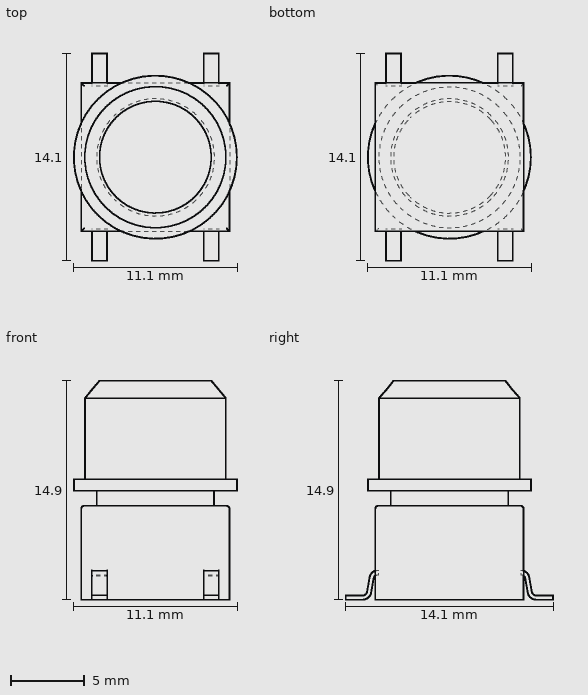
import cadquery as cq
import math

housing_width = 10.1
housing_height = 6.4
housing_top_radius = 0.25

neck_diameter = 8.0
neck_height = 1.0
flange_diameter = 11.1
flange_thickness = 0.8
cap_diameter = 9.6
cap_top_diameter = 7.6
cap_bevel_height = 1.19
overall_height = 14.9

lead_span = 14.1
lead_spacing = 7.6
lead_width = 1.05
lead_thickness = 0.3
lead_height = 2.01
foot_length = 1.15
inner_bend_radius = 0.3
outer_bend_radius = inner_bend_radius + lead_thickness
leg_lean = math.radians(10)


def make_housing_block():
    """Plain block with its four top edges rounded."""
    block = cq.Workplane("XY").box(housing_width, housing_width, housing_height, centered=(True, True, False))
    return block.faces(">Z").edges().fillet(housing_top_radius)


def make_button():
    """Turned button that rests on the housing: neck, flange and bevelled cap."""
    flange_bottom = housing_height + neck_height
    flange_top = flange_bottom + flange_thickness
    profile = [
        (0, housing_height),
        (neck_diameter / 2, housing_height),
        (neck_diameter / 2, flange_bottom),
        (flange_diameter / 2, flange_bottom),
        (flange_diameter / 2, flange_top),
        (cap_diameter / 2, flange_top),
        (cap_diameter / 2, overall_height - cap_bevel_height),
        (cap_top_diameter / 2, overall_height),
        (0, overall_height),
    ]
    return cq.Workplane("XZ").polyline(profile).close().revolve(360, (0, 0, 0), (0, 1, 0))


def point_on_arc(center, radius, angle):
    """Point at the given angle, measured from the outward Y direction toward Z."""
    return (center[0] + radius * math.cos(angle), center[1] + radius * math.sin(angle))


def make_lead(x_center):
    """Gull-wing lead on the +Y side: flat foot, leaning leg and a bend into the housing."""
    tip = lead_span / 2
    foot_start = tip - foot_length

    lower_center = (foot_start, outer_bend_radius)
    upper_center_z = lead_height - outer_bend_radius
    normal_distance = inner_bend_radius + outer_bend_radius
    rise = upper_center_z - lower_center[1]
    leg_length = (rise + normal_distance * math.sin(leg_lean)) / math.cos(leg_lean)
    upper_center_y = foot_start - normal_distance * math.cos(leg_lean) - leg_length * math.sin(leg_lean)
    upper_center = (upper_center_y, upper_center_z)

    level_below = -math.pi / 2
    leg_below = leg_lean - math.pi
    middle_below = (level_below + leg_below) / 2
    level_above = math.pi / 2
    leg_above = leg_lean
    middle_above = (level_above + leg_above) / 2

    profile = (
        cq.Workplane("YZ")
        .moveTo(tip, 0)
        .lineTo(tip, lead_thickness)
        .lineTo(*point_on_arc(lower_center, inner_bend_radius, level_below))
        .threePointArc(
            point_on_arc(lower_center, inner_bend_radius, middle_below),
            point_on_arc(lower_center, inner_bend_radius, leg_below),
        )
        .lineTo(*point_on_arc(upper_center, outer_bend_radius, leg_above))
        .threePointArc(
            point_on_arc(upper_center, outer_bend_radius, middle_above),
            point_on_arc(upper_center, outer_bend_radius, level_above),
        )
        .lineTo(*point_on_arc(upper_center, inner_bend_radius, level_above))
        .threePointArc(
            point_on_arc(upper_center, inner_bend_radius, middle_above),
            point_on_arc(upper_center, inner_bend_radius, leg_above),
        )
        .lineTo(*point_on_arc(lower_center, outer_bend_radius, leg_below))
        .threePointArc(
            point_on_arc(lower_center, outer_bend_radius, middle_below),
            point_on_arc(lower_center, outer_bend_radius, level_below),
        )
        .close()
    )
    return profile.extrude(lead_width / 2, both=True).translate((x_center, 0, 0))


leads = []
for x_center in (-lead_spacing / 2, lead_spacing / 2):
    lead = make_lead(x_center)
    leads.append(lead)
    leads.append(lead.mirror("XZ"))

housing = make_housing_block()
for lead in leads:
    housing = housing.cut(lead)

button = make_button()

result = cq.Compound.makeCompound([housing.val(), button.val(), *[lead.val() for lead in leads]])